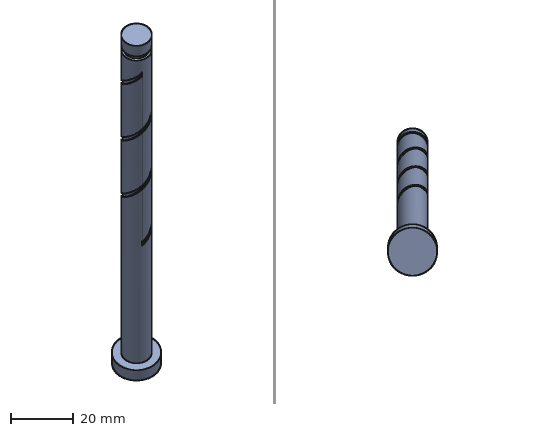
import cadquery as cq

total_length = 155.0
shaft_radius = 5.0
flange_diameter = 16.0
flange_height = 5.0
head_height = 5.0
neck_width = 2.0
neck_radius = 4.0

spiral_turns = 3
spiral_pitch = 26.7
spiral_bottom = 61.0
spiral_width = 1.7
spiral_depth = 0.5
cutter_overlap = 0.3


def make_pin():
    """Shaft standing on a round flange."""
    flange = cq.Workplane("XY").circle(flange_diameter / 2).extrude(flange_height)
    shaft = cq.Workplane("XY").circle(shaft_radius).extrude(total_length)
    return flange.union(shaft)


def make_neck_cutter():
    """Ring that narrows the shaft just below its head."""
    neck_bottom = total_length - head_height - neck_width
    return (
        cq.Workplane("XY", origin=(0, 0, neck_bottom))
        .circle(shaft_radius + cutter_overlap)
        .circle(neck_radius)
        .extrude(neck_width)
    )


def make_spiral_cutter():
    """Rectangle in the radial plane swept along a helix that starts on +X."""
    section_depth = spiral_depth + cutter_overlap
    section_center = shaft_radius - spiral_depth + section_depth / 2
    helix = cq.Wire.makeHelix(spiral_pitch, spiral_pitch * spiral_turns, shaft_radius)
    cutter = (
        cq.Workplane("XZ")
        .center(section_center, 0)
        .rect(section_depth, spiral_width)
        .sweep(cq.Workplane(obj=helix), isFrenet=True)
    )
    return cutter.translate((0, 0, spiral_bottom))


result = make_pin().cut(make_neck_cutter()).cut(make_spiral_cutter())